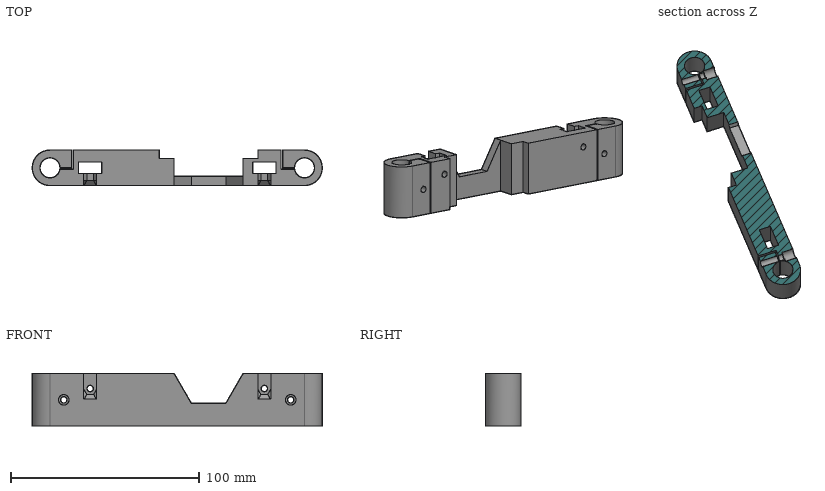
import cadquery as cq
import math

length = 154.0
depth = 19.0
height = 28.0
end_radius = depth / 2

bore_diameter = 10.5
slit_width = 0.8
slit_leg_width = 0.6
slit_outer_x = 21.1
slit_front_y = 8.8
clamp_screw_x = 16.8
clamp_screw_z = height / 2
screw_diameter = 3.2
clamp_head_diameter = 5.5
clamp_head_depth = 6.2

pocket_center_x = 30.8
pocket_width = 12.2
pocket_front_y = 6.5
pocket_back_y = 12.5
slot_width = 7.0
slot_screw_z = 20.0
nut_flats = 6.3
nut_mouth_flats = 11.2
nut_mouth_depth = 2.8

gap_center_x = 93.6
gap_top_width = 36.5
gap_bottom_z = 12.3
gap_side_angle = 30.0
web_thickness = 5.1
step_width = 52.2
step_y = 14.5


def block(x_min, x_max, y_min, y_max, z_min=0.0, z_max=height):
    size = (x_max - x_min, y_max - y_min, z_max - z_min)
    return cq.Workplane("XY").box(*size, centered=False).translate((x_min, y_min, z_min))


def cylinder_along_y(x, z, diameter, y_min, y_max):
    plane = cq.Plane(origin=(x, y_min, z), xDir=(1, 0, 0), normal=(0, 1, 0))
    return cq.Workplane(plane).circle(diameter / 2).extrude(y_max - y_min)


def hexagon_diameter(flats):
    """Distance across corners of a hexagon from its distance across flats."""
    return flats / math.cos(math.radians(30))


def clamp_cutter():
    """Rod bore, L-shaped slit and screw hole of the left clamp."""
    bore = cq.Workplane("XY").center(end_radius, end_radius).circle(bore_diameter / 2).extrude(height)
    slit_inner_x = slit_outer_x + slit_width
    slit_leg = block(end_radius, slit_inner_x, slit_front_y, slit_front_y + slit_leg_width)
    slit_exit = block(slit_outer_x, slit_inner_x, slit_front_y, depth)
    screw = cylinder_along_y(clamp_screw_x, clamp_screw_z, screw_diameter, 0, depth)
    head = cylinder_along_y(clamp_screw_x, clamp_screw_z, clamp_head_diameter, 0, clamp_head_depth)
    return bore.union(slit_leg).union(slit_exit).union(screw).union(head)


def nut_slot_cutter():
    """Open-topped slot whose floor is a hexagonal nut seat with a flared mouth."""
    plane = cq.Plane(origin=(pocket_center_x, 0, slot_screw_z), xDir=(1, 0, 0), normal=(0, 1, 0))
    seat = cq.Workplane(plane).polygon(6, hexagon_diameter(nut_flats)).extrude(pocket_front_y)
    mouth = (
        cq.Workplane(plane)
        .polygon(6, hexagon_diameter(nut_mouth_flats))
        .workplane(offset=nut_mouth_depth)
        .polygon(6, hexagon_diameter(nut_flats))
        .loft(ruled=True)
    )
    slot_left = pocket_center_x - slot_width / 2
    slot_right = pocket_center_x + slot_width / 2
    slot_envelope = block(slot_left, slot_right, 0, pocket_front_y)
    open_top = block(slot_left, slot_right, 0, pocket_front_y, slot_screw_z)
    return seat.union(mouth).intersect(slot_envelope).union(open_top)


def pocket_cutter():
    """Through pocket, its nut slot and the screw hole to the back face."""
    left = pocket_center_x - pocket_width / 2
    pocket = block(left, left + pocket_width, pocket_front_y, pocket_back_y)
    screw = cylinder_along_y(pocket_center_x, slot_screw_z, screw_diameter, 0, depth)
    return pocket.union(nut_slot_cutter()).union(screw)


def central_cutter():
    """Stepped recess behind the web, plus the tapered gap in the web."""
    half_top = gap_top_width / 2
    half_bottom = half_top - (height - gap_bottom_z) * math.tan(math.radians(gap_side_angle))
    recess = block(gap_center_x - half_top, gap_center_x + half_top, web_thickness, depth)
    step = block(gap_center_x - step_width / 2, gap_center_x + step_width / 2, step_y, depth)
    gap = (
        cq.Workplane("XZ")
        .polyline([
            (gap_center_x - half_top, height),
            (gap_center_x - half_bottom, gap_bottom_z),
            (gap_center_x + half_bottom, gap_bottom_z),
            (gap_center_x + half_top, height),
        ])
        .close()
        .extrude(-depth)
    )
    return recess.union(step).union(gap)


body = cq.Workplane("XY").center(length / 2, end_radius).slot2D(length, depth).extrude(height)

end_cutter = clamp_cutter().union(pocket_cutter())
opposite_cutter = end_cutter.mirror("YZ").translate((length, 0, 0))

result = body.cut(end_cutter).cut(opposite_cutter).cut(central_cutter())